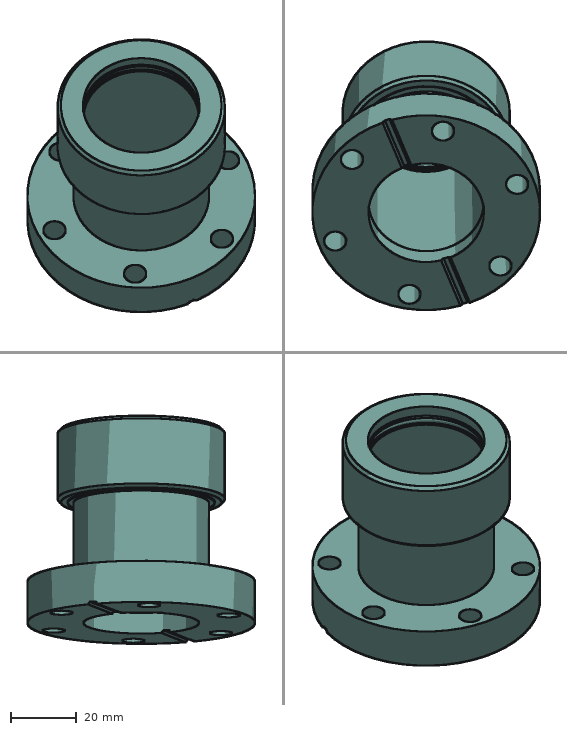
import cadquery as cq

flange_diameter = 69.1
flange_thickness = 12.7
bolt_count = 6
bolt_hole_diameter = 6.7
bolt_circle_diameter = 58.7
first_bolt_angle = 90.0
groove_mouth_width = 3.05
groove_depth = 0.75
groove_floor_width = groove_mouth_width - 2 * groove_depth

tube_bore_diameter = 34.95
tube_diameter = 41.25
socket_depth = flange_thickness / 2
head_diameter = 44.6
head_exposure = 0.3

overall_height = 59.4
nut_diameter = 50.8
nut_height = 22.2
nut_chamfer = 1.05
nut_lip_thickness = 3.4
opening_diameter = 35.3

washer_thickness = 0.9
seal_section_diameter = 2.35
seal_inner_diameter = opening_diameter

nut_bottom = overall_height - nut_height
lip_bottom = overall_height - nut_lip_thickness
washer_bottom = lip_bottom - washer_thickness
tube_top = washer_bottom - seal_section_diameter
head_bottom = nut_bottom - head_exposure
socket_floor = flange_thickness - socket_depth


def cylinder(diameter, bottom, top):
    """Solid cylinder on the Z axis between two heights."""
    return cq.Workplane("XY").workplane(offset=bottom).circle(diameter / 2).extrude(top - bottom)


def make_flange():
    """Bolted disc, bored through and socketed for the tube, with a groove across its underside."""
    flange = cylinder(flange_diameter, 0, flange_thickness)
    flange = flange.cut(cylinder(tube_bore_diameter, 0, flange_thickness))
    flange = flange.cut(cylinder(tube_diameter, socket_floor, flange_thickness))
    bolt_holes = (
        cq.Workplane("XY")
        .polarArray(bolt_circle_diameter / 2, first_bolt_angle, 360, bolt_count)
        .circle(bolt_hole_diameter / 2)
        .extrude(flange_thickness)
    )
    groove = (
        cq.Workplane("YZ")
        .polyline([
            (-groove_mouth_width / 2, 0),
            (-groove_floor_width / 2, groove_depth),
            (groove_floor_width / 2, groove_depth),
            (groove_mouth_width / 2, 0),
        ])
        .close()
        .extrude(flange_diameter / 2, both=True)
    )
    return flange.cut(bolt_holes).cut(groove)


def make_tube():
    """Tube with a wider head and one through bore."""
    plain_length = cylinder(tube_diameter, socket_floor, head_bottom)
    head = cylinder(head_diameter, head_bottom, tube_top)
    bore = cylinder(tube_bore_diameter, socket_floor, tube_top)
    return plain_length.union(head).cut(bore)


def make_nut():
    """Chamfered cap that fits over the tube head and has an inward lip at the top."""
    nut = cylinder(nut_diameter, nut_bottom, overall_height).edges().chamfer(nut_chamfer)
    cavity = cylinder(head_diameter, nut_bottom, lip_bottom)
    opening = cylinder(opening_diameter, lip_bottom, overall_height)
    return nut.cut(cavity).cut(opening)


def make_washer():
    """Flat ring under the nut lip."""
    washer = cylinder(head_diameter, washer_bottom, lip_bottom)
    return washer.cut(cylinder(opening_diameter, washer_bottom, lip_bottom))


def make_seal():
    """Round-section ring resting on the tube head."""
    section_radius = seal_section_diameter / 2
    ring_radius = seal_inner_diameter / 2 + section_radius
    return (
        cq.Workplane("XZ")
        .center(ring_radius, tube_top + section_radius)
        .circle(section_radius)
        .revolve(360, (-ring_radius, 0), (-ring_radius, 1))
    )


flange = make_flange()
tube = make_tube()
nut = make_nut()
washer = make_washer()
seal = make_seal()

result = cq.Compound.makeCompound([
    flange.solids().val(),
    tube.solids().val(),
    nut.solids().val(),
    washer.solids().val(),
    seal.solids().val(),
])